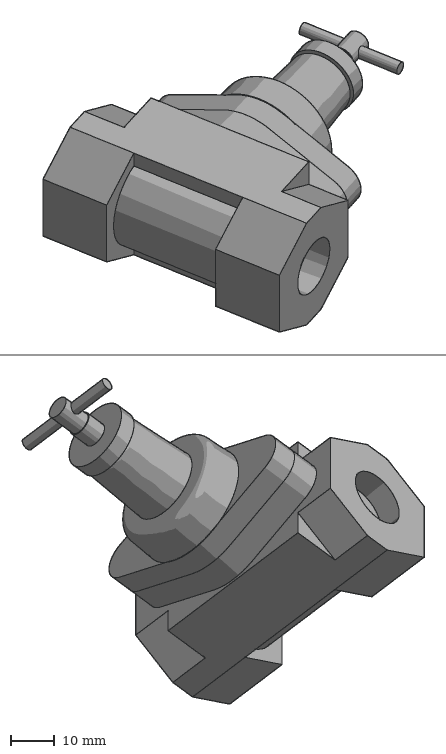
import cadquery as cq
import math


body_length = 63.0
body_height = 31.0
hex_across_flats = 30.0
hex_end_length = 17.0
upper_cut_length = 10.5
pipe_radius = 12.0
port_diameter = 14.0
port_depth = 6.0

flange_hub_radius = 14.75
flange_ear_radius = 6.0
flange_length = 54.0
body_flange_thickness = 7.0
bonnet_flange_thickness = 6.0

dome_height = 9.0
dome_base_radius = 15.0
dome_top_radius = 14.5
dome_fillet = 2.0
neck_height = 18.0
neck_base_radius = 9.0
neck_top_radius = 8.0
neck_fillet = 1.0
collar_height = 4.0
collar_radius = 8.5
stem_base_height = 5.0
stem_base_radius = 3.0
stem_tip_height = 7.0
stem_tip_radius = 2.75
handle_length = 26.0
handle_radius = 1.5
handle_below_tip = 3.0

half_length = body_length / 2
half_height = body_height / 2
half_flats = hex_across_flats / 2
hex_slope = math.tan(math.radians(30))
hex_side = hex_across_flats * hex_slope
hex_corner_z = hex_side / 2
hex_shoulder_y = (hex_side - half_height) / hex_slope
ear_offset = flange_length / 2 - flange_ear_radius
flange_split_y = half_flats + body_flange_thickness
dome_base_y = flange_split_y + bonnet_flange_thickness
neck_base_y = dome_base_y + dome_height
collar_base_y = neck_base_y + neck_height
stem_base_y = collar_base_y + collar_height
stem_tip_y = stem_base_y + stem_base_height
handle_y = stem_tip_y + stem_tip_height - handle_below_tip


def extrude_along_x(outline, x_start, length):
    """Extrude a closed (y, z) outline along +X."""
    return cq.Workplane("YZ", origin=(x_start, 0, 0)).polyline(outline).close().extrude(length)


def round_bar_along_x(radius, x_start, length, y=0.0):
    return cq.Workplane("YZ", origin=(x_start, y, 0)).circle(radius).extrude(length)


def frustum_along_y(base_y, height, base_radius, top_radius):
    """Round section around the bonnet axis, straight or tapered."""
    outline = [(0, base_y), (base_radius, base_y), (top_radius, base_y + height), (0, base_y + height)]
    return cq.Workplane("XY").polyline(outline).close().revolve(360, (0, 0, 0), (0, 1, 0))


def flange_plate(base_y, thickness):
    """Two-eared plate: hub and ear arcs joined by their common tangents."""
    tangent_angle = math.asin((flange_hub_radius - flange_ear_radius) / ear_offset)
    along = math.sin(tangent_angle)
    across = math.cos(tangent_angle)
    hub_x = flange_hub_radius * along
    hub_z = flange_hub_radius * across
    ear_x = ear_offset + flange_ear_radius * along
    ear_z = flange_ear_radius * across
    tip_x = flange_length / 2
    return (
        cq.Workplane("XZ", origin=(0, base_y, 0))
        .moveTo(-hub_x, hub_z)
        .threePointArc((0, flange_hub_radius), (hub_x, hub_z))
        .lineTo(ear_x, ear_z)
        .threePointArc((tip_x, 0), (ear_x, -ear_z))
        .lineTo(hub_x, -hub_z)
        .threePointArc((0, -flange_hub_radius), (-hub_x, -hub_z))
        .lineTo(-ear_x, -ear_z)
        .threePointArc((-tip_x, 0), (-ear_x, ear_z))
        .close()
        .extrude(-thickness)
    )


def make_valve_body():
    end_outline = [
        (-half_flats, -hex_corner_z),
        (-hex_shoulder_y, -half_height),
        (hex_shoulder_y, -half_height),
        (half_flats, -hex_corner_z),
        (half_flats, hex_corner_z),
        (hex_shoulder_y, half_height),
        (-hex_shoulder_y, half_height),
        (-half_flats, hex_corner_z),
    ]
    block_outline = [
        (-hex_shoulder_y, -half_height),
        (half_flats, -half_height),
        (half_flats, half_height),
        (-hex_shoulder_y, half_height),
    ]
    block_length = body_length - 2 * upper_cut_length
    body = extrude_along_x(block_outline, -block_length / 2, block_length)
    body = body.union(round_bar_along_x(pipe_radius, -half_length, body_length))
    for end_start in (-half_length, half_length - hex_end_length):
        body = body.union(extrude_along_x(end_outline, end_start, hex_end_length))
    for port_start in (-half_length, half_length - port_depth):
        body = body.cut(round_bar_along_x(port_diameter / 2, port_start, port_depth))
    return body.union(flange_plate(half_flats, body_flange_thickness))


def make_bonnet():
    dome = frustum_along_y(dome_base_y, dome_height, dome_base_radius, dome_top_radius)
    dome = dome.faces(">Y").edges().fillet(dome_fillet)
    neck = frustum_along_y(neck_base_y, neck_height, neck_base_radius, neck_top_radius)
    neck = neck.faces(">Y").edges().fillet(neck_fillet)
    collar = frustum_along_y(collar_base_y, collar_height, collar_radius, collar_radius)
    stem_base = frustum_along_y(stem_base_y, stem_base_height, stem_base_radius, stem_base_radius)
    stem_tip = frustum_along_y(stem_tip_y, stem_tip_height, stem_tip_radius, stem_tip_radius)
    handle = round_bar_along_x(handle_radius, -handle_length / 2, handle_length, handle_y)

    bonnet = flange_plate(flange_split_y, bonnet_flange_thickness)
    for section in (dome, neck, collar, stem_base, stem_tip, handle):
        bonnet = bonnet.union(section)
    return bonnet


valve_body = make_valve_body()
bonnet = make_bonnet()

result = cq.Compound.makeCompound([valve_body.val(), bonnet.val()])